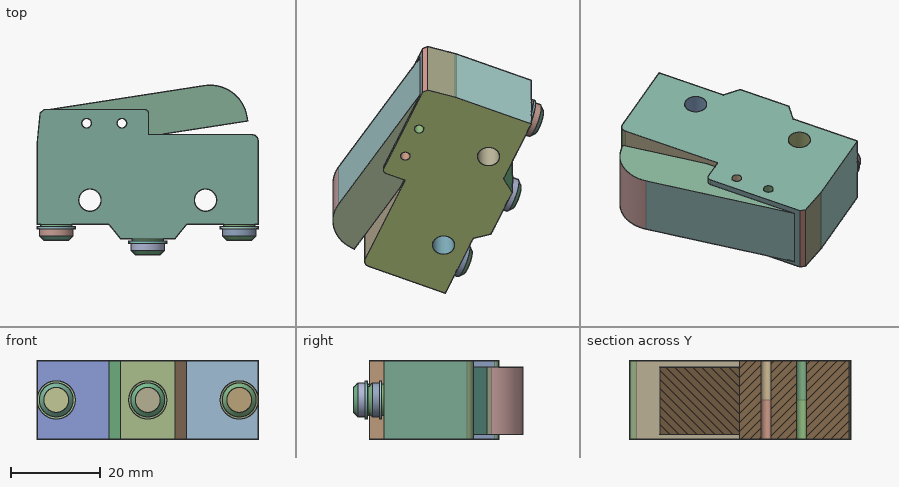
import cadquery as cq
import math


housing_width = 49.2
housing_thickness = 17.5
half_width = housing_width / 2
high_top = 25.6
low_top = 20.0
step_x = 0.2
step_round = 1.0
deck_round = 1.5

taper_start = 18.3
taper_inset = 0.65
taper_blend = 0.19
corner_chamfer_x = 0.95
corner_chamfer_y = 0.8

nose_depth = 3.2
nose_root_half = 8.65
nose_tip_half = 6.05

mount_hole_diameter = 4.9
mount_hole_spacing = 25.7
mount_hole_y = 5.4
pin_hole_diameter = 2.1
pin_hole_y = 22.5
pin_hole_xs = (-13.6, -5.75)

lever_angle = 8.8
lever_width = 15.0
lever_middle_z = -0.2
lever_depth = 9.3
lever_length = 44.0
lever_round = 8.36
lever_peak_y = 30.99
lever_round_x = 13.85

terminal_spacing = 20.35
neck_diameter = 7.0
neck_length = 0.45
flange_diameter = 8.5
flange_length = 0.55
head_diameter = 7.55
head_length = 2.55
head_chamfer = 1.0


def round_upright_edge(body, x, y, radius):
    """Round the edge parallel to Z that stands at the given X and Y."""
    return body.edges("|Z").edges(cq.NearestToPointSelector((x, y, 0))).fillet(radius)


def make_housing_block():
    """Housing without its holes."""
    left_top_x = -half_width + taper_inset
    lean_angle = math.atan2(taper_inset, high_top - corner_chamfer_y - taper_start)
    blend_top_x = -half_width + taper_blend * math.sin(lean_angle)
    blend_top_y = taper_start + taper_blend * math.cos(lean_angle)
    blend_radius = taper_blend / math.tan(lean_angle / 2)
    outline = (
        cq.Workplane("XY")
        .workplane(offset=-housing_thickness / 2)
        .moveTo(-half_width, 0)
        .lineTo(-nose_root_half, 0)
        .lineTo(-nose_tip_half, -nose_depth)
        .lineTo(nose_tip_half, -nose_depth)
        .lineTo(nose_root_half, 0)
        .lineTo(half_width, 0)
        .lineTo(half_width, low_top)
        .lineTo(step_x, low_top)
        .lineTo(step_x, high_top)
        .lineTo(left_top_x + corner_chamfer_x, high_top)
        .lineTo(left_top_x, high_top - corner_chamfer_y)
        .lineTo(blend_top_x, blend_top_y)
        .radiusArc((-half_width, taper_start - taper_blend), -blend_radius)
        .close()
    )
    block = outline.extrude(housing_thickness)
    block = round_upright_edge(block, half_width, low_top, deck_round)
    return round_upright_edge(block, step_x, high_top, step_round)


def cut_holes(block):
    """Mounting holes and pivot pin holes, all through the full thickness."""
    mount_points = [(side * mount_hole_spacing / 2, mount_hole_y) for side in (-1, 1)]
    pin_points = [(x, pin_hole_y) for x in pin_hole_xs]
    for points, diameter in ((mount_points, mount_hole_diameter), (pin_points, pin_hole_diameter)):
        holes = (
            cq.Workplane("XY")
            .pushPoints(points)
            .circle(diameter / 2)
            .extrude(housing_thickness / 2, both=True)
        )
        block = block.cut(holes)
    return block


def make_lever(block):
    """Leaning bar, trimmed where it meets the housing faces."""
    corner_arc_middle = lever_round * math.sqrt(0.5)
    lower_edge = lever_round - lever_depth
    bar = (
        cq.Workplane("XY")
        .workplane(offset=lever_middle_z - lever_width / 2)
        .moveTo(lever_round - lever_length, lever_round)
        .lineTo(0, lever_round)
        .threePointArc((corner_arc_middle, corner_arc_middle), (lever_round, 0))
        .lineTo(lever_round, lower_edge)
        .lineTo(lever_round - lever_length, lower_edge)
        .close()
        .extrude(lever_width)
        .rotate((0, 0, 0), (0, 0, 1), lever_angle)
        .translate((lever_round_x, lever_peak_y - lever_round, 0))
    )
    return bar.cut(block)


def make_terminal(x, y):
    """Round terminal standing on the face at the given Y and pointing to -Y."""
    neck_end = neck_length
    flange_end = neck_end + flange_length
    tip = flange_end + head_length
    profile = (
        cq.Workplane("XY")
        .moveTo(0, 0)
        .lineTo(neck_diameter / 2, 0)
        .lineTo(neck_diameter / 2, -neck_end)
        .lineTo(flange_diameter / 2, -neck_end)
        .lineTo(flange_diameter / 2, -flange_end)
        .lineTo(head_diameter / 2, -flange_end)
        .lineTo(head_diameter / 2, -tip + head_chamfer)
        .lineTo(head_diameter / 2 - head_chamfer, -tip)
        .lineTo(0, -tip)
        .close()
    )
    return profile.revolve(360, (0, 0, 0), (0, 1, 0)).translate((x, y, 0))


housing_block = make_housing_block()
housing = cut_holes(housing_block)
lever = make_lever(housing_block)

terminal_places = [(-terminal_spacing, 0), (0, -nose_depth), (terminal_spacing, 0)]
terminals = [make_terminal(x, y) for x, y in terminal_places]

result = cq.Compound.makeCompound(
    [*housing.solids().vals(), *lever.solids().vals(), *[terminal.val() for terminal in terminals]]
)